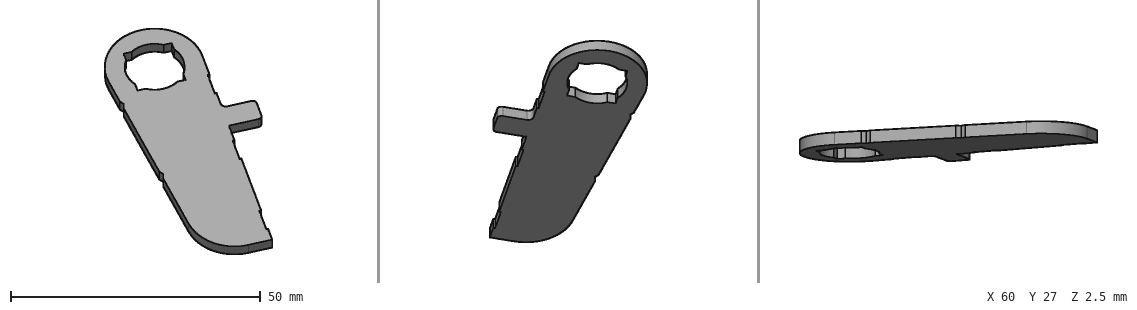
import cadquery as cq
import math

length = 60.0
depth = 27.0
thickness = 2.5
head_radius = length / 6
end_x = length - head_radius

lower_edge_angle = 7.1
corner_radius = head_radius

hole_radius = 6.0
square_side = head_radius

tab_left = 14.0
tab_width = 5.0
tab_corner_radius = 0.9
tab_root_radius = 1.1

top_notch_starts = (5.05, 22.9, 42.05)
top_notch_width = 5.0
top_notch_depth = 0.35

v_notch_positions = (7.75, 27.55)
v_notch_half_width = 0.95
v_notch_depth = 0.5

slope = math.radians(lower_edge_angle)


def lower_edge_y(x):
    """Height of the sloping lower edge at x."""
    return x * math.tan(slope) - head_radius / math.cos(slope)


def point_at_lower_edge(x, along, inward):
    """Point offset along and perpendicular to the lower edge from x."""
    return (
        x + along * math.cos(slope) - inward * math.sin(slope),
        lower_edge_y(x) + along * math.sin(slope) + inward * math.cos(slope),
    )


def make_blade():
    tangent_point = (head_radius * math.sin(slope), -head_radius * math.cos(slope))
    blade = (
        cq.Workplane("XY")
        .moveTo(0, head_radius)
        .threePointArc((-head_radius, 0), tangent_point)
        .lineTo(end_x, lower_edge_y(end_x))
        .lineTo(end_x, head_radius)
        .close()
        .extrude(thickness)
    )
    return blade.edges("|Z").edges(cq.selectors.NearestToPointSelector(
        (end_x, lower_edge_y(end_x), thickness / 2))).fillet(corner_radius)


def make_tab():
    tab_top = depth - head_radius
    return (
        cq.Workplane("XY")
        .box(tab_width, tab_top, thickness, centered=False)
        .edges("|Z and >Y")
        .fillet(tab_corner_radius)
        .translate((tab_left, 0, 0))
    )


def make_tab_root():
    """Concave fillet between the upper edge and the left side of the tab."""
    diagonal = tab_root_radius * math.sqrt(0.5)
    arc_centre = (tab_left - tab_root_radius, head_radius + tab_root_radius)
    return (
        cq.Workplane("XY")
        .moveTo(tab_left - tab_root_radius, head_radius)
        .threePointArc(
            (arc_centre[0] + diagonal, arc_centre[1] - diagonal),
            (tab_left, head_radius + tab_root_radius),
        )
        .lineTo(tab_left, head_radius)
        .close()
        .extrude(thickness)
    )


def make_opening():
    square = cq.Workplane("XY").rect(square_side, square_side).extrude(thickness)
    return cq.Workplane("XY").circle(hole_radius).extrude(thickness).union(square)


def make_top_notch(start):
    return (
        cq.Workplane("XY")
        .box(top_notch_width, top_notch_depth, thickness, centered=False)
        .translate((start, head_radius - top_notch_depth, 0))
    )


def make_v_notch(x):
    corners = [
        point_at_lower_edge(x, -v_notch_half_width, 0),
        point_at_lower_edge(x, 0, v_notch_depth),
        point_at_lower_edge(x, v_notch_half_width, 0),
    ]
    return cq.Workplane("XY").polyline(corners).close().extrude(thickness)


result = make_blade().union(make_tab()).union(make_tab_root()).cut(make_opening())
for notch_start in top_notch_starts:
    result = result.cut(make_top_notch(notch_start))
for notch_x in v_notch_positions:
    result = result.cut(make_v_notch(notch_x))